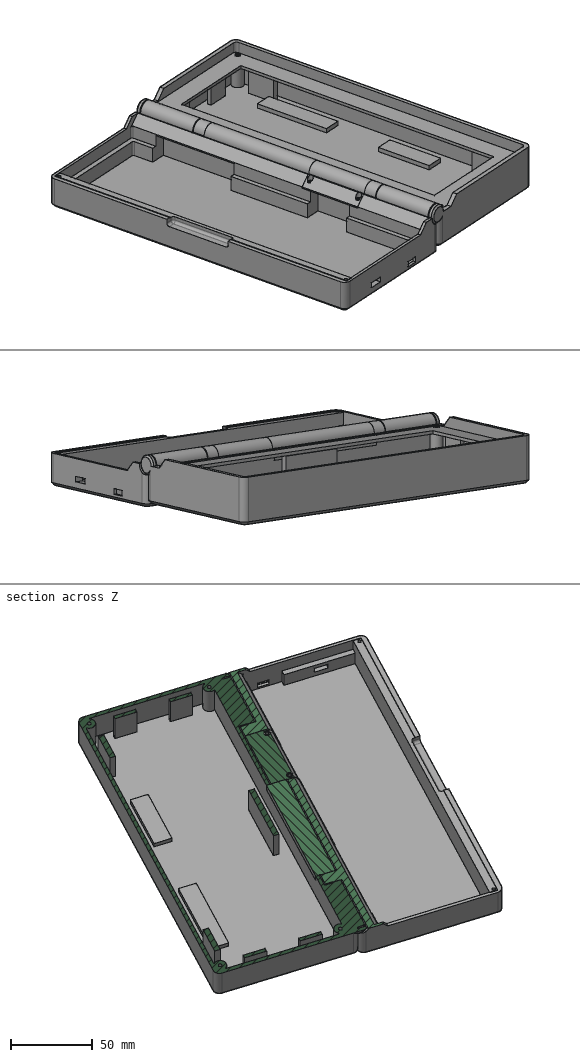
import cadquery as cq

LENGTH = 225.5
END = LENGTH / 2
DEPTH = 95.0
AXIS_Z = 26.5
BARREL_R = 6.0
CLEARANCE_R = 6.5
FRONT_TOP = AXIS_Z - BARREL_R
BACK_TOP = AXIS_Z + BARREL_R
BACK_BOTTOM = 2.7

CORNER_R = 4.0
BOTTOM_CHAMFER = 2.0
FLOOR = 2.3
STEP_NEAR = 12.6
STEP_FAR = 18.5
COVER_Z = 19.5
SCREW_HOLE = 2.0
SCREW_HEAD = 3.5
SCREW_HOLE_DEPTH = 6.8
HEAD_DEPTH = 1.0

BARREL_END = 109.2
KNUCKLE_GAP = 0.5
KNUCKLE_OUT = 69.7
KNUCKLE_IN = 61.0
COVER_SPLIT = 18.7
BACK_SPANS = [(-END, -KNUCKLE_OUT), (-KNUCKLE_IN, COVER_SPLIT), (KNUCKLE_OUT, END)]
FRONT_SPANS = [(-KNUCKLE_OUT, -KNUCKLE_IN), (COVER_SPLIT, KNUCKLE_OUT)]
EAR_X = 109.9
EAR_CHAMFER = 1.1

FRONT_WALL_X = 110.8
LEDGE_OUT = -91.5
LEDGE_IN = -86.5
LEDGE_Z = 19.9
SHELF_Z = 12.0
SHELF_X = 107.4
SHELF_Y = -16.2
RIGHT_SHELF_Y = -39.5
SLOPE_TOP_Y = -7.0
SLOPE_END_Y = SLOPE_TOP_Y - BARREL_R
RECESS_Y = -5.5
RECESSES = [(-92.5, -33.0), (25.0, 54.8)]
CAVITY_R = 1.1
PLATE_HOLE_X, PLATE_HOLE_Y = 109.0, -89.8
NOTCH_HALF = 23.2
NOTCH_Y = -88.9
NOTCH_Z = 15.8
NOTCH_R = 1.8
PORTS = [(-31.1, -23.5, 3.5, 7.2), (-68.5, -59.5, 5.9, 9.2)]
COVER_SCREW_INSET = 2.7
COVER_SCREW_Y = -8.3

BACK_FLOOR = BACK_BOTTOM + FLOOR
BACK_WALL_X = 109.9
BACK_WALL_Y = 92.3
DECK_Y = 8.1
BACK_CAVITY_R = 2.3
BEZEL_FAR_Y = 91.5
BEZEL_TOP = 25.7
BEZEL_THICKNESS = 2.0
BEZEL_BOTTOM = BEZEL_TOP - BEZEL_THICKNESS
WINDOW_X = (-96.5, 95.7)
WINDOW_Y = (18.7, 79.5)
BOSS_R = 4.0
BEZEL_SCREW_X = 106.3
BEZEL_SCREW_YS = (10.2, 89.3)
RIB_Y = (84.4, 88.2)
RIB_X = (75.4, 94.5)
SIDE_RIB_X = (103.8, 106.5)
SIDE_RIB_YS = [(22.0, 36.8), (58.7, 73.3)]
NEAR_RIB = ((-21.0, 19.2), (15.8, 19.6))
PAD_XS = [(-79.0, -26.5), (13.0, 51.7)]
PAD_Y = (72.6, 84.4)
PAD_HEIGHT = 3.0


def block(xs, ys, zs):
    """Box spanning the given X, Y and Z ranges."""
    size = (xs[1] - xs[0], ys[1] - ys[0], zs[1] - zs[0])
    return cq.Workplane("XY").box(*size, centered=False).translate((xs[0], ys[0], zs[0]))


def extrude_profile(points, xs):
    """Prism of a (Y, Z) outline over an X range."""
    return cq.Workplane("YZ", origin=(xs[0], 0, 0)).polyline(points).close().extrude(xs[1] - xs[0])


def barrel(xs, radius):
    """Cylinder on the hinge axis over an X range."""
    return cq.Workplane("YZ", origin=(xs[0], 0, AXIS_Z)).circle(radius).extrude(xs[1] - xs[0])


def drill(body, x, y, z, diameter, depth):
    """Vertical blind hole going down from height z."""
    return body.cut(cq.Workplane("XY", origin=(x, y, z - depth)).circle(diameter / 2).extrude(depth))


def tray_blank(ys, zs):
    """Solid block with rounded upright corners and a chamfered bottom edge."""
    blank = block((-END, END), ys, zs).edges("|Z").fillet(CORNER_R)
    return blank.faces("<Z").chamfer(BOTTOM_CHAMFER)


def cover_screws():
    """X positions of the two screws through the front cover."""
    return (COVER_SPLIT + COVER_SCREW_INSET, KNUCKLE_IN - COVER_SCREW_INSET)


def bezel_screws():
    """(X, Y) positions of the four screws through the bezel."""
    return [(side * BEZEL_SCREW_X, y) for side in (-1, 1) for y in BEZEL_SCREW_YS]


def slope_profile(bottom):
    """Outline of the hinge beam under the sloped face."""
    return [
        (0, bottom),
        (0, AXIS_Z),
        (SLOPE_TOP_Y, AXIS_Z),
        (SLOPE_END_Y, FRONT_TOP),
        (SLOPE_END_Y, bottom),
    ]


def front_cavity(body):
    """Hollows the front tray, leaving the ledge, the shelves and the hinge beam."""
    inside = (-FRONT_WALL_X, FRONT_WALL_X)
    above_slope = [
        (SLOPE_TOP_Y, AXIS_Z),
        (-DEPTH, AXIS_Z),
        (-DEPTH, FRONT_TOP),
        (SLOPE_END_Y, FRONT_TOP),
    ]
    body = body.cut(extrude_profile(above_slope, inside))
    body = body.cut(block(inside, (LEDGE_OUT, SLOPE_END_Y), (LEDGE_Z, FRONT_TOP)))
    upper = block(inside, (LEDGE_IN, SLOPE_END_Y), (SHELF_Z, FRONT_TOP))
    body = body.cut(upper.edges("|Z and >Y").fillet(CAVITY_R))
    lower = block((-SHELF_X, SHELF_X), (LEDGE_IN, SHELF_Y), (FLOOR, SHELF_Z))
    body = body.cut(lower.edges("|Z and >Y and <X").fillet(CAVITY_R))
    body = body.cut(block((0, FRONT_WALL_X), (RIGHT_SHELF_Y, SHELF_Y), (FLOOR, SHELF_Z)))
    for xs in RECESSES:
        body = body.cut(block(xs, (SHELF_Y, RECESS_Y), (FLOOR, COVER_Z)))
    return body


def finger_notch():
    """Cutter for the notch in the front rim, rounded along its inner edges."""
    notch = block((-NOTCH_HALF, NOTCH_HALF), (-DEPTH, NOTCH_Y), (NOTCH_Z, AXIS_Z))
    return notch.edges("(|Z and >Y) or (|X and >Y and <Z) or (|Y and <Z)").fillet(NOTCH_R)


def make_front_tray():
    """Lower tray with the two narrow knuckles."""
    tray = tray_blank((-DEPTH, 0), (0, AXIS_Z))
    above_rim = [
        (-STEP_NEAR, AXIS_Z),
        (-STEP_FAR, FRONT_TOP),
        (-DEPTH, FRONT_TOP),
        (-DEPTH, AXIS_Z),
    ]
    tray = tray.cut(extrude_profile(above_rim, (-END, END)))
    tray = front_cavity(tray).cut(finger_notch())
    for side in (-1, 1):
        tray = drill(tray, side * PLATE_HOLE_X, PLATE_HOLE_Y, LEDGE_Z, SCREW_HOLE, SCREW_HOLE_DEPTH)
    for y0, y1, z0, z1 in PORTS:
        tray = tray.cut(block((SHELF_X, END), (y0, y1), (z0, z1)))
    tray = tray.cut(block((COVER_SPLIT, KNUCKLE_IN), (SLOPE_END_Y, 0), (COVER_Z, AXIS_Z)))
    for x in cover_screws():
        tray = drill(tray, x, COVER_SCREW_Y, COVER_Z, SCREW_HOLE, SCREW_HOLE_DEPTH)
    for xs in BACK_SPANS:
        tray = tray.cut(barrel(xs, CLEARANCE_R))
    knuckle_end = KNUCKLE_OUT - KNUCKLE_GAP
    for xs in [(-knuckle_end, -KNUCKLE_IN), (KNUCKLE_IN, knuckle_end)]:
        tray = tray.union(barrel(xs, BARREL_R))
    return tray


def make_front_cover():
    """Removable piece of the sloped face with its own length of barrel."""
    xs = (COVER_SPLIT, KNUCKLE_IN)
    cover = extrude_profile(slope_profile(COVER_Z), xs).union(barrel(xs, BARREL_R))
    head_floor = AXIS_Z - SCREW_HEAD
    for x in cover_screws():
        cutter = cq.Workplane("XY", origin=(x, COVER_SCREW_Y, head_floor))
        cover = cover.cut(cutter.circle(SCREW_HEAD / 2).extrude(BARREL_R))
        cover = drill(cover, x, COVER_SCREW_Y, AXIS_Z, SCREW_HOLE, AXIS_Z - COVER_Z)
    return cover


def make_back_tray():
    """Upper tray with the two outer barrels and the rounded ears."""
    tray = tray_blank((0, DEPTH), (BACK_BOTTOM, BACK_TOP))
    above_deck = [
        (0, AXIS_Z),
        (STEP_NEAR, AXIS_Z),
        (STEP_FAR, BACK_TOP),
        (0, BACK_TOP),
    ]
    tray = tray.cut(extrude_profile(above_deck, (-END, END)))
    cavity = block((-BACK_WALL_X, BACK_WALL_X), (DECK_Y, BACK_WALL_Y), (BACK_FLOOR, BACK_TOP))
    cavity = cavity.edges("|Z").fillet(BACK_CAVITY_R)
    tray = tray.cut(cavity)
    tray = add_bosses(tray)
    tray = add_floor_ribs(tray)
    tray = tray.cut(block((-KNUCKLE_IN, COVER_SPLIT), (0, DECK_Y), (COVER_Z, AXIS_Z)))
    for xs in FRONT_SPANS:
        tray = tray.cut(barrel(xs, CLEARANCE_R))
    for xs in [(-BARREL_END, -KNUCKLE_OUT), (KNUCKLE_OUT, BARREL_END)]:
        tray = tray.union(barrel(xs, BARREL_R))
    tray = tray.union(barrel((-END, -EAR_X), BARREL_R).faces("<X").chamfer(EAR_CHAMFER))
    return tray.union(barrel((EAR_X, END), BARREL_R).faces(">X").chamfer(EAR_CHAMFER))


def add_bosses(tray):
    """Four screw bosses that carry the bezel."""
    for x, y in bezel_screws():
        boss = cq.Workplane("XY", origin=(x, y, BACK_FLOOR)).circle(BOSS_R)
        tray = tray.union(boss.extrude(BEZEL_BOTTOM - BACK_FLOOR))
        tray = drill(tray, x, y, BEZEL_BOTTOM, SCREW_HOLE, SCREW_HOLE_DEPTH)
    return tray


def add_floor_ribs(tray):
    """Ribs that locate the display and two low pads, all standing on the floor."""
    rib_zs = (BACK_FLOOR, BEZEL_BOTTOM)
    for side in (-1, 1):
        tray = tray.union(block(sorted(side * x for x in RIB_X), RIB_Y, rib_zs))
        for ys in SIDE_RIB_YS:
            tray = tray.union(block(sorted(side * x for x in SIDE_RIB_X), ys, rib_zs))
    tray = tray.union(block(*NEAR_RIB, rib_zs))
    for xs in PAD_XS:
        tray = tray.union(block(xs, PAD_Y, (BACK_FLOOR, BACK_FLOOR + PAD_HEIGHT)))
    return tray


def make_back_cover():
    """Removable piece of the deck with the middle barrel."""
    xs = (-KNUCKLE_IN, COVER_SPLIT)
    return block(xs, (0, DECK_Y), (COVER_Z, AXIS_Z)).union(barrel(xs, BARREL_R))


def make_bezel():
    """Plate with the display window, resting on the bosses."""
    zs = (BEZEL_BOTTOM, BEZEL_TOP)
    bezel = block((-BACK_WALL_X, BACK_WALL_X), (DECK_Y, BEZEL_FAR_Y), zs)
    bezel = bezel.edges("|Z").fillet(BACK_CAVITY_R)
    bezel = bezel.cut(block(WINDOW_X, WINDOW_Y, zs))
    for x, y in bezel_screws():
        bezel = drill(bezel, x, y, BEZEL_TOP, SCREW_HOLE, BEZEL_THICKNESS)
        bezel = drill(bezel, x, y, BEZEL_TOP, SCREW_HEAD, HEAD_DEPTH)
    return bezel


front_tray = make_front_tray()
front_cover = make_front_cover()
back_tray = make_back_tray()
back_cover = make_back_cover()
bezel = make_bezel()

result = cq.Compound.makeCompound([
    front_tray.val(),
    front_cover.val(),
    back_tray.val(),
    back_cover.val(),
    bezel.val(),
])